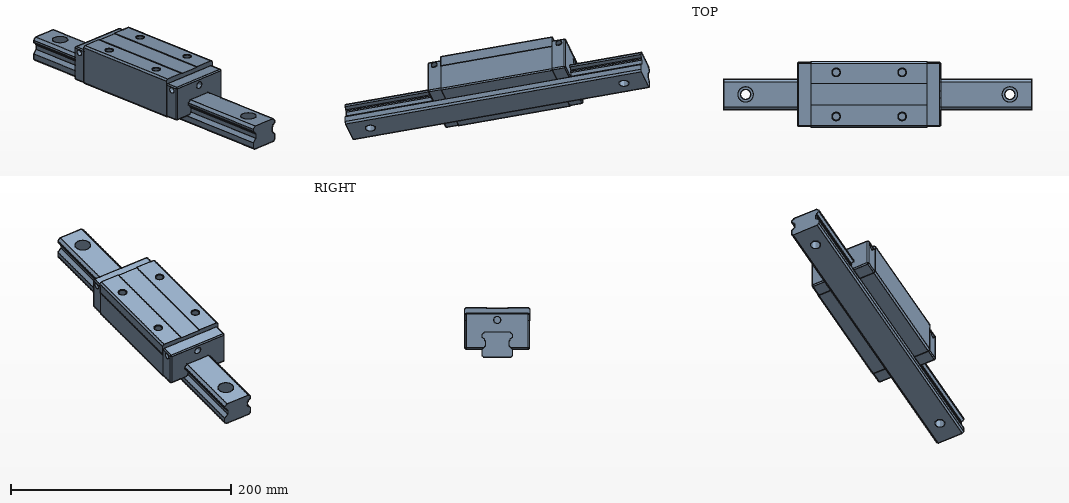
import cadquery as cq

RAIL_LENGTH = 280.0
RAIL_HEIGHT = 23.0
RAIL_HALF_WIDTH = 14.0
RAIL_TOP_CHAMFER = 2.5
RAIL_BOTTOM_CHAMFER = 1.7
HEAD_BOTTOM_Z = 18.5
GROOVE_HALF_WIDTH = 11.8
GROOVE_TOP_Z = 16.5
GROOVE_BOTTOM_Z = 15.5
NECK_HALF_WIDTH = 10.5
NECK_TOP_Z = 14.5
NECK_BOTTOM_Z = 10.5
BOLT_SPACING = 240.0
BOLT_DIAMETER = 9.0
COUNTERBORE_DIAMETER = 14.0
COUNTERBORE_DEPTH = 12.5

CARRIAGE_X = -7.8
BLOCK_LENGTH = 105.3
BLOCK_WIDTH = 60.0
BLOCK_TOP_Z = 45.0
BLOCK_BOTTOM_Z = 7.0
BLOCK_CHAMFER = 1.7
DATUM_STEP_Z = 33.3
DATUM_STEP_INSET = 0.5
STRIP_WIDTH = 19.5
STRIP_DEPTH = 0.5
MOUNT_SPACING_X = 60.0
MOUNT_SPACING_Y = 40.0
MOUNT_DIAMETER = 6.7
MOUNT_CHAMFER = 0.5
MOUNT_DEPTH = 14.0

CAP_THICKNESS = 12.5
CAP_WIDTH = 58.5
CAP_TOP_Z = 40.3
CAP_BOTTOM_Z = 7.5
CAP_CHAMFER = 1.0
END_PORT_DIAMETER = 6.5
END_PORT_Z = 34.0
SIDE_PORT_DIAMETER = 5.3
SIDE_PORT_Z = 36.0
SIDE_PORT_DEPTH = 5.5


def rail_bar():
    """Plain rail of constant cross-section, without bolt holes."""
    right_side = [
        (RAIL_HALF_WIDTH - RAIL_BOTTOM_CHAMFER, 0),
        (RAIL_HALF_WIDTH, RAIL_BOTTOM_CHAMFER),
        (RAIL_HALF_WIDTH, NECK_BOTTOM_Z - (RAIL_HALF_WIDTH - NECK_HALF_WIDTH)),
        (NECK_HALF_WIDTH, NECK_BOTTOM_Z),
        (NECK_HALF_WIDTH, NECK_TOP_Z),
        (NECK_HALF_WIDTH + GROOVE_BOTTOM_Z - NECK_TOP_Z, GROOVE_BOTTOM_Z),
        (GROOVE_HALF_WIDTH, GROOVE_TOP_Z),
        (RAIL_HALF_WIDTH, HEAD_BOTTOM_Z),
        (RAIL_HALF_WIDTH, RAIL_HEIGHT - RAIL_TOP_CHAMFER),
        (RAIL_HALF_WIDTH - RAIL_TOP_CHAMFER, RAIL_HEIGHT),
    ]
    left_side = [(-y, z) for y, z in reversed(right_side)]
    return (
        cq.Workplane("YZ")
        .polyline(right_side + left_side)
        .close()
        .extrude(RAIL_LENGTH / 2, both=True)
    )


def make_rail():
    """Rail with a counterbored bolt hole near each end."""
    return (
        rail_bar()
        .faces(">Z")
        .workplane(origin=(0, 0, RAIL_HEIGHT))
        .rarray(BOLT_SPACING, 2.8, 2, 1)
        .cboreHole(BOLT_DIAMETER, COUNTERBORE_DIAMETER, COUNTERBORE_DEPTH)
    )


def box_between(length, width, bottom_z, top_z):
    """Box centred on the carriage in X and Y, between two heights."""
    return (
        cq.Workplane("XY", origin=(CARRIAGE_X, 0, bottom_z))
        .box(length, width, top_z - bottom_z, centered=(True, True, False))
    )


def make_block():
    """Steel block with chamfered long edges, a datum step and a recessed top strip."""
    block = box_between(BLOCK_LENGTH, BLOCK_WIDTH, BLOCK_BOTTOM_Z, BLOCK_TOP_Z)
    block = block.edges("|X").chamfer(BLOCK_CHAMFER)

    step = box_between(BLOCK_LENGTH, DATUM_STEP_INSET, BLOCK_BOTTOM_Z, DATUM_STEP_Z)
    block = block.cut(step.translate((0, (BLOCK_WIDTH - DATUM_STEP_INSET) / 2, 0)))

    strip = box_between(BLOCK_LENGTH, STRIP_WIDTH, BLOCK_TOP_Z - STRIP_DEPTH, BLOCK_TOP_Z)
    return block.cut(strip)


def mount_holes():
    """Four blind mounting holes with chamfered mouths, in the top of the block."""
    centres = cq.Workplane("XY", origin=(CARRIAGE_X, 0, BLOCK_TOP_Z)).rarray(
        MOUNT_SPACING_X, MOUNT_SPACING_Y, 2, 2
    )
    bores = centres.circle(MOUNT_DIAMETER / 2).extrude(-MOUNT_DEPTH)
    countersinks = centres.circle(MOUNT_DIAMETER / 2 + MOUNT_CHAMFER).extrude(-MOUNT_CHAMFER, taper=45)
    return bores.union(countersinks)


def make_caps():
    """Both end caps as one bar through the block, with their end and side ports."""
    length = BLOCK_LENGTH + 2 * CAP_THICKNESS
    caps = box_between(length, CAP_WIDTH, CAP_BOTTOM_Z, CAP_TOP_Z).edges().chamfer(CAP_CHAMFER)
    for side in (-1, 1):
        end_port = (
            cq.Workplane("YZ", origin=(CARRIAGE_X + side * length / 2, 0, END_PORT_Z))
            .circle(END_PORT_DIAMETER / 2)
            .extrude(-side * CAP_THICKNESS)
        )
        port_x = CARRIAGE_X + side * (BLOCK_LENGTH + CAP_THICKNESS) / 2
        caps = caps.cut(end_port)
        for face in (-1, 1):
            side_port = (
                cq.Workplane("XZ", origin=(port_x, face * CAP_WIDTH / 2, SIDE_PORT_Z))
                .circle(SIDE_PORT_DIAMETER / 2)
                .extrude(face * SIDE_PORT_DEPTH)
            )
            caps = caps.cut(side_port)
    return caps


def make_carriage():
    """Block and end caps in one piece, with a channel that fits the rail."""
    return make_block().union(make_caps()).cut(mount_holes()).cut(rail_bar())


rail = make_rail()
carriage = make_carriage()

result = cq.Compound.makeCompound([rail.val(), carriage.val()])